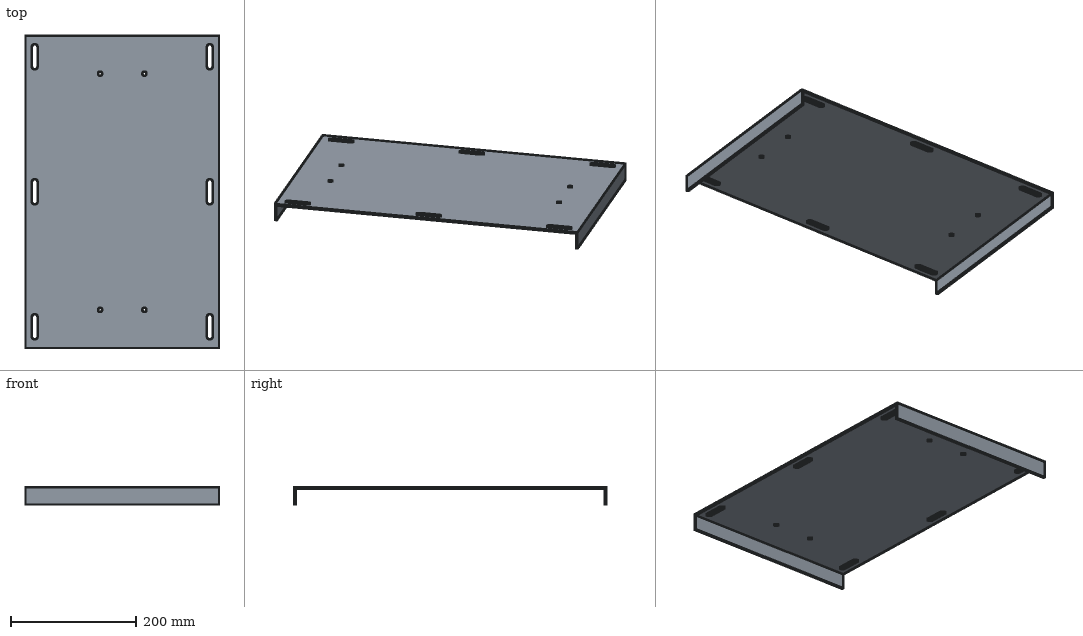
import cadquery as cq

width = 310.0
length = 500.0
height = 28.0
thickness = 3.0

slot_length = 40.0
slot_width = 9.0
slot_spacing_x = 280.0
slot_spacing_y = 216.0

hole_diameter = 6.5
hole_spacing_x = 71.0
hole_spacing_y = 378.0


def folded_plate():
    """Plate and both end flanges, with the top face at Z = 0."""
    outer = cq.Workplane("XY").box(width, length, height, centered=(True, True, False))
    inside = cq.Workplane("XY").box(
        width, length - 2 * thickness, height - thickness, centered=(True, True, False)
    )
    return outer.cut(inside).translate((0, 0, -height))


def slot_cutters():
    return (
        cq.Workplane("XY")
        .rarray(slot_spacing_x, slot_spacing_y, 2, 3)
        .slot2D(slot_length, slot_width, angle=90)
        .extrude(-thickness)
    )


def hole_cutters():
    return (
        cq.Workplane("XY")
        .rarray(hole_spacing_x, hole_spacing_y, 2, 2)
        .circle(hole_diameter / 2)
        .extrude(-thickness)
    )


result = folded_plate().cut(slot_cutters()).cut(hole_cutters())